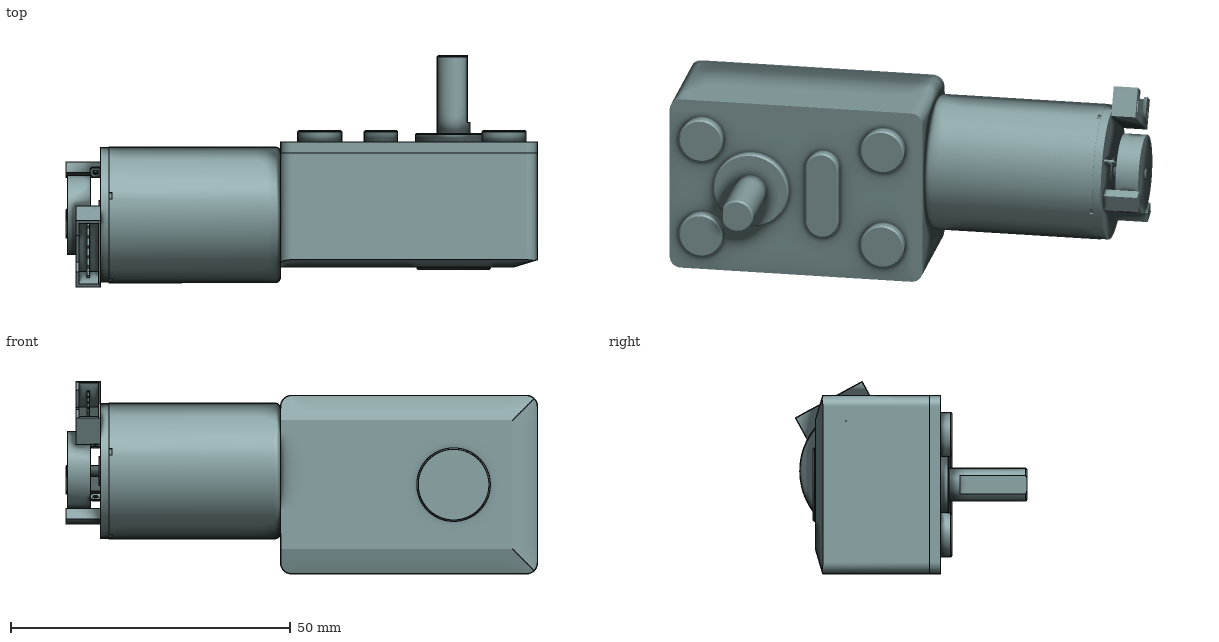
import cadquery as cq

GEARBOX_LENGTH = 46.05
GEARBOX_HEIGHT = 32.0
GEARBOX_MID_Z = -2.45
GEARBOX_FRONT_Y = -9.4
CORNER_RADIUS = 2.0
BEVEL_WIDTH = 4.5
BEVEL_DEPTH = 1.35
COVER_THICKNESS = 2.0
COVER_OUTER_Y = 13.1
COVER_INNER_Y = COVER_OUTER_Y - COVER_THICKNESS
EDGE_BREAK = 0.25

END_CAP_RADIUS = 6.6
END_CAP_HEIGHT = 0.4
SCREW_BOSS_RADIUS = 4.0
SCREW_BOSS_HEIGHT = 2.0
SCREW_BOSS_XS = (7.0, 40.05)
SCREW_BOSS_SPACING_Z = 18.0
LONG_BOSS_X = 18.0
LONG_BOSS_WIDTH = 6.0
LONG_BOSS_STRAIGHT = 10.0
COLLAR_RADIUS = 6.85
COLLAR_HEIGHT = 1.5

OUTPUT_X = 31.0
OUTPUT_RADIUS = 2.95
OUTPUT_TIP_Y = 28.6
OUTPUT_INNER_Y = GEARBOX_FRONT_Y + BEVEL_DEPTH
FLAT_LENGTH = 12.0
FLAT_DEPTH = 0.5

MOTOR_RADIUS = 12.2
MOTOR_LENGTH = 30.8
MOTOR_EDGE_RADIUS = 1.0
BEARING_RADIUS = 2.6
BEARING_PROUD = 0.25
NOTCH_WIDTH = 1.2
NOTCH_LENGTH = 0.6
NOTCH_DEPTH = 0.3
TERMINAL_WIDTH = 1.95
TERMINAL_THICKNESS = 0.3
TERMINAL_PROUD = 1.9
TERMINAL_RADIUS = 9.0
TERMINAL_HOLE_RADIUS = 0.4
TERMINAL_CORNER_RADIUS = 0.7

BOARD_RADIUS = 12.1
BOARD_THICKNESS = 1.5
BOARD_OUTER_X = -MOTOR_LENGTH - BOARD_THICKNESS
SENSOR_TIP_X = -38.45
SENSOR_RADIAL = 2.0
SENSOR_TANGENTIAL = 3.1
SENSOR_RADIUS = 8.45
MAGNET_RADIUS = 7.1
MAGNET_THICKNESS = 4.1
ROTOR_PROUD = 0.25
MAGNET_OUTER_X = SENSOR_TIP_X + ROTOR_PROUD
ROTOR_RADIUS = 1.0
ROTOR_CHAMFER = 0.2

SENSOR_TURN = 16.4
CONNECTOR_TURN = 45 - SENSOR_TURN
TERMINAL_TURN = 31.5

CONNECTOR_WIDTH = 13.6
CONNECTOR_DEPTH = 4.4
CONNECTOR_BASE = 9.1
CONNECTOR_TOP = 14.5
CONNECTOR_WALL = 0.6
CONNECTOR_BACK_WALL = 0.3
SLOT_WIDTH = 7.4
SLOT_BASE = 10.9
WINDOW_WIDTH = 0.9
WINDOW_BASE = 10.4
WINDOW_HEIGHT = 2.0
WINDOW_OFFSET = 5.5
PIN_COUNT = 6
PIN_PITCH = 2.0
PIN_SIZE = 0.4
PIN_SHIFT = 0.2
PIN_TOP = 13.5


def block(x_range, y_range, z_range):
    """Box between pairs of limits."""
    size = [high - low for low, high in (x_range, y_range, z_range)]
    return cq.Workplane().box(*size, centered=False).translate((x_range[0], y_range[0], z_range[0]))


def x_cylinder(radius, x_start, x_end):
    """Cylinder on the motor axis."""
    return cq.Workplane("YZ", origin=(x_start, 0, 0)).circle(radius).extrude(x_end - x_start)


def y_plane(y, x=0.0):
    """Sketch plane at gearbox mid height that faces +Y."""
    return cq.Workplane(cq.Plane((x, y, GEARBOX_MID_Z), xDir=(1, 0, 0), normal=(0, 1, 0)))


def turn(shape, angle):
    """Turn a shape about the motor axis."""
    return shape.rotate((0, 0, 0), (1, 0, 0), angle)


def gearbox_slab(y_start, y_end):
    """Rounded rectangular slab with the gearbox outline."""
    slab = y_plane(y_start, GEARBOX_LENGTH / 2).rect(GEARBOX_LENGTH, GEARBOX_HEIGHT).extrude(y_end - y_start)
    return slab.edges("|Y").fillet(CORNER_RADIUS)


def output_bore():
    """Round cylinder that the output shaft fills."""
    return y_plane(OUTPUT_INNER_Y, OUTPUT_X).circle(OUTPUT_RADIUS).extrude(OUTPUT_TIP_Y - OUTPUT_INNER_Y)


def beveled_envelope():
    """Block whose front is beveled along the top, the bottom and the far end."""
    profile_y = [
        (GEARBOX_FRONT_Y, BEVEL_WIDTH),
        (GEARBOX_FRONT_Y + BEVEL_DEPTH, 0),
        (COVER_INNER_Y, 0),
    ]
    half = GEARBOX_HEIGHT / 2
    lower = [(y, inset - half) for y, inset in profile_y]
    upper = [(y, half - inset) for y, inset in reversed(profile_y)]
    far = [(GEARBOX_LENGTH - inset, y) for y, inset in profile_y]
    near = [(0, COVER_INNER_Y), (0, GEARBOX_FRONT_Y)]
    side_on = cq.Workplane("YZ", origin=(0, 0, GEARBOX_MID_Z)).polyline(lower + upper).close()
    from_above = cq.Workplane("XY", origin=(0, 0, GEARBOX_MID_Z - half)).polyline(far + near).close()
    return side_on.extrude(GEARBOX_LENGTH).intersect(from_above.extrude(GEARBOX_HEIGHT))


def make_housing():
    body = gearbox_slab(GEARBOX_FRONT_Y, COVER_INNER_Y).intersect(beveled_envelope())
    cap = y_plane(GEARBOX_FRONT_Y - END_CAP_HEIGHT, OUTPUT_X).circle(END_CAP_RADIUS).extrude(END_CAP_HEIGHT)
    cap = cap.faces("<Y").edges().chamfer(EDGE_BREAK)
    return body.union(cap).cut(output_bore())


def make_cover():
    cover = gearbox_slab(COVER_INNER_Y, COVER_OUTER_Y)
    boss_points = [(x, side * SCREW_BOSS_SPACING_Z / 2) for x in SCREW_BOSS_XS for side in (-1, 1)]
    screw_bosses = y_plane(COVER_OUTER_Y).pushPoints(boss_points).circle(SCREW_BOSS_RADIUS)
    long_boss = y_plane(COVER_OUTER_Y, LONG_BOSS_X).slot2D(
        LONG_BOSS_STRAIGHT + LONG_BOSS_WIDTH, LONG_BOSS_WIDTH, 90
    )
    collar = y_plane(COVER_OUTER_Y, OUTPUT_X).circle(COLLAR_RADIUS).extrude(COLLAR_HEIGHT)
    raised = (
        screw_bosses.extrude(SCREW_BOSS_HEIGHT),
        long_boss.extrude(SCREW_BOSS_HEIGHT),
        collar,
    )
    for detail in raised:
        cover = cover.union(detail.faces(">Y").edges().chamfer(EDGE_BREAK))
    return cover.cut(output_bore())


def make_output_shaft():
    shaft = output_bore().faces(">Y").edges().chamfer(EDGE_BREAK)
    flat = block(
        (OUTPUT_X + OUTPUT_RADIUS - FLAT_DEPTH, OUTPUT_X + OUTPUT_RADIUS),
        (OUTPUT_TIP_Y - FLAT_LENGTH, OUTPUT_TIP_Y),
        (GEARBOX_MID_Z - OUTPUT_RADIUS, GEARBOX_MID_Z + OUTPUT_RADIUS),
    )
    return shaft.cut(flat)


def make_terminal():
    """Solder tab with a round hole, standing out in the +Y direction from the motor axis."""
    tip_x = BOARD_OUTER_X - TERMINAL_PROUD
    bottom_z = -TERMINAL_THICKNESS / 2
    tab = block(
        (tip_x, -MOTOR_LENGTH),
        (TERMINAL_RADIUS - TERMINAL_WIDTH / 2, TERMINAL_RADIUS + TERMINAL_WIDTH / 2),
        (bottom_z, TERMINAL_THICKNESS / 2),
    )
    tab = tab.edges("|Z and <X").fillet(TERMINAL_CORNER_RADIUS)
    hole_center = (tip_x + TERMINAL_WIDTH / 2, TERMINAL_RADIUS, bottom_z)
    hole = cq.Workplane(origin=hole_center).circle(TERMINAL_HOLE_RADIUS)
    return tab.cut(hole.extrude(TERMINAL_THICKNESS))


def make_rear_details():
    """Bearing seat and the two terminals, which pass through the board."""
    details = x_cylinder(BEARING_RADIUS, BOARD_OUTER_X - BEARING_PROUD, -MOTOR_LENGTH)
    for half_turn in (0, 180):
        details = details.union(turn(make_terminal(), TERMINAL_TURN + half_turn))
    return details


def make_motor():
    can = x_cylinder(MOTOR_RADIUS, -MOTOR_LENGTH, 0).faces(">X").edges().fillet(MOTOR_EDGE_RADIUS)
    notch = block(
        (-MOTOR_LENGTH, NOTCH_LENGTH - MOTOR_LENGTH),
        (MOTOR_RADIUS - NOTCH_DEPTH, MOTOR_RADIUS + NOTCH_DEPTH),
        (-NOTCH_WIDTH / 2, NOTCH_WIDTH / 2),
    )
    for quarter in range(4):
        can = can.cut(turn(notch, quarter * 90 - SENSOR_TURN))
    return can.union(make_rear_details())


def make_board():
    """Encoder board with its two sensors a quarter turn apart."""
    board = x_cylinder(BOARD_RADIUS, BOARD_OUTER_X, -MOTOR_LENGTH)
    sensor = block(
        (SENSOR_TIP_X, BOARD_OUTER_X),
        (SENSOR_RADIUS - SENSOR_RADIAL / 2, SENSOR_RADIUS + SENSOR_RADIAL / 2),
        (-SENSOR_TANGENTIAL / 2, SENSOR_TANGENTIAL / 2),
    )
    for angle in (-SENSOR_TURN, -SENSOR_TURN - 90):
        board = board.union(turn(sensor, angle))
    return board.cut(make_rear_details())


def make_rotor_shaft():
    shaft = x_cylinder(ROTOR_RADIUS, SENSOR_TIP_X, BOARD_OUTER_X - BEARING_PROUD)
    return shaft.faces("<X").edges().chamfer(ROTOR_CHAMFER)


def make_magnet():
    inner_x = MAGNET_OUTER_X + MAGNET_THICKNESS
    disc = x_cylinder(MAGNET_RADIUS, MAGNET_OUTER_X, inner_x)
    return disc.cut(x_cylinder(ROTOR_RADIUS, MAGNET_OUTER_X, inner_x))


def make_connector():
    """Shrouded pin header on the board, open away from the motor axis."""
    front_x = BOARD_OUTER_X - CONNECTOR_DEPTH
    half_width = CONNECTOR_WIDTH / 2
    floor = CONNECTOR_BASE + CONNECTOR_WALL
    front_wall = (front_x, front_x + CONNECTOR_WALL)
    shell = block((front_x, BOARD_OUTER_X), (-half_width, half_width), (CONNECTOR_BASE, CONNECTOR_TOP))
    cavity = block(
        (front_x + CONNECTOR_WALL, BOARD_OUTER_X - CONNECTOR_BACK_WALL),
        (CONNECTOR_WALL - half_width, half_width - CONNECTOR_WALL),
        (floor, CONNECTOR_TOP),
    )
    slot = block(front_wall, (-SLOT_WIDTH / 2, SLOT_WIDTH / 2), (SLOT_BASE, CONNECTOR_TOP))
    connector = shell.cut(cavity).cut(slot)
    window = block(
        front_wall,
        (-WINDOW_WIDTH / 2, WINDOW_WIDTH / 2),
        (WINDOW_BASE, WINDOW_BASE + WINDOW_HEIGHT),
    )
    for side in (-1, 1):
        connector = connector.cut(window.translate((0, side * WINDOW_OFFSET, 0)))
    mid_x = BOARD_OUTER_X - CONNECTOR_DEPTH / 2
    for index in range(PIN_COUNT):
        pin_y = (index - (PIN_COUNT - 1) / 2) * PIN_PITCH - PIN_SHIFT
        pin = block(
            (mid_x - PIN_SIZE / 2, mid_x + PIN_SIZE / 2),
            (pin_y - PIN_SIZE / 2, pin_y + PIN_SIZE / 2),
            (CONNECTOR_BASE, PIN_TOP),
        )
        connector = connector.union(pin)
    return turn(connector, CONNECTOR_TURN)


housing = make_housing()
cover = make_cover()
output_shaft = make_output_shaft()
motor = make_motor()
board = make_board()
rotor_shaft = make_rotor_shaft()
magnet = make_magnet()
connector = make_connector()

bodies = (housing, cover, output_shaft, motor, board, rotor_shaft, magnet, connector)
result = cq.Compound.makeCompound([body.val() for body in bodies])